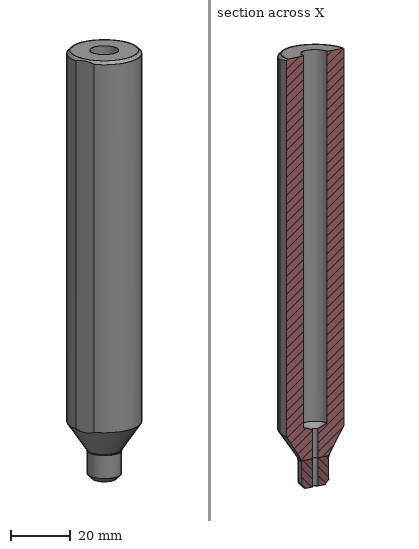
import cadquery as cq
import math

TOTAL_LENGTH = 150.0
BODY_DIAMETER = 25.0
BODY_RADIUS = BODY_DIAMETER / 2
WIDTH_ACROSS_FLATS = 24.0
TOP_CHAMFER = 1.0

SHOULDER_TOP = 20.0
TIP_LENGTH = 9.8
TIP_RADIUS = 5.7
LIP_RADIUS = 5.8
LIP_HEIGHT = 0.5
TIP_CHAMFER = 1.6

BORE_RADIUS = 4.8
PASSAGE_RADIUS = 1.0
BORE_FLOOR = SHOULDER_TOP
DRILL_POINT_ANGLE = 140.0
FLOOR_CONE_HEIGHT = (BORE_RADIUS - PASSAGE_RADIUS) / math.tan(math.radians(DRILL_POINT_ANGLE / 2))


def make_handle():
    """Round handle with two flats and a tapered shoulder ending in a short lip, bored through."""
    profile = [
        (PASSAGE_RADIUS, TIP_LENGTH),
        (LIP_RADIUS, TIP_LENGTH),
        (LIP_RADIUS, TIP_LENGTH + LIP_HEIGHT),
        (BODY_RADIUS, SHOULDER_TOP),
        (BODY_RADIUS, TOTAL_LENGTH - TOP_CHAMFER),
        (BODY_RADIUS - TOP_CHAMFER, TOTAL_LENGTH),
        (BORE_RADIUS, TOTAL_LENGTH),
        (BORE_RADIUS, BORE_FLOOR + FLOOR_CONE_HEIGHT),
        (PASSAGE_RADIUS, BORE_FLOOR),
    ]
    turned = cq.Workplane("XZ").polyline(profile).close().revolve(360, (0, 0), (0, 1))
    flats_envelope = cq.Workplane("XY").box(
        BODY_DIAMETER, WIDTH_ACROSS_FLATS, TOTAL_LENGTH, centered=(True, True, False)
    )
    return turned.intersect(flats_envelope)


def make_tip():
    """Short cylindrical tip with a chamfered end and a central passage."""
    profile = [
        (PASSAGE_RADIUS, 0),
        (TIP_RADIUS - TIP_CHAMFER, 0),
        (TIP_RADIUS, TIP_CHAMFER),
        (TIP_RADIUS, TIP_LENGTH),
        (PASSAGE_RADIUS, TIP_LENGTH),
    ]
    return cq.Workplane("XZ").polyline(profile).close().revolve(360, (0, 0), (0, 1))


handle = make_handle()
tip = make_tip()

result = cq.Compound.makeCompound([handle.val(), tip.val()])